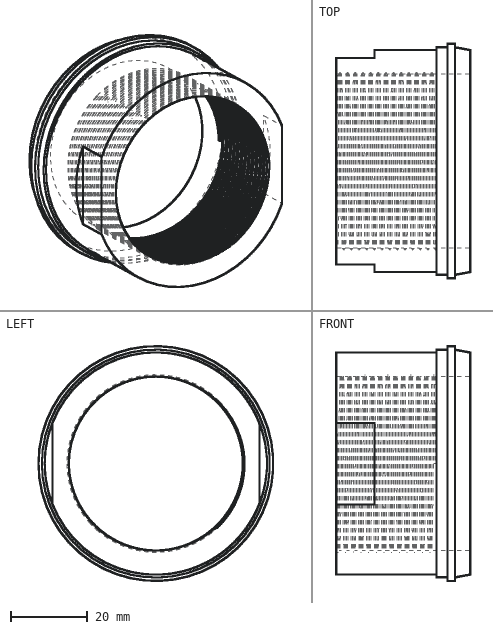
import cadquery as cq

length = 35.0
body_radius = 29.0
collar_radius = 29.7
flange_radius = 30.65
collar_start = 26.1
flange_start = 29.0
taper_start = 31.0
bore_radius = 22.7

flat_length = 10.0
flat_half_width = 27.0

helix_length = 27.95
helix_turns = 14
thread_pitch = helix_length / helix_turns
thread_depth = 0.5
groove_mouth = 0.8
cutter_overlap = 0.2


def make_sleeve():
    """Revolve the stepped wall about the X axis."""
    wall = (
        cq.Workplane("XY")
        .moveTo(0, bore_radius)
        .lineTo(0, body_radius)
        .lineTo(collar_start, body_radius)
        .lineTo(collar_start, collar_radius)
        .lineTo(flange_start, collar_radius)
        .lineTo(flange_start, flange_radius)
        .lineTo(taper_start, flange_radius)
        .lineTo(taper_start, collar_radius)
        .lineTo(length, body_radius)
        .lineTo(length, bore_radius)
        .close()
    )
    return wall.revolve(360, (0, 0, 0), (1, 0, 0))


def cut_flats(sleeve):
    """Cut the two opposite wrench flats at the threaded end."""
    flat_depth = body_radius - flat_half_width
    for side in (-1, 1):
        cutter = cq.Workplane("XY").box(
            flat_length, flat_depth, 2 * body_radius, centered=(False, True, True)
        )
        sleeve = sleeve.cut(cutter.translate((0, side * (flat_half_width + flat_depth / 2), 0)))
    return sleeve


def make_thread_cutter():
    """Sweep a V groove along a right-hand helix about X, starting at -Y."""
    helix = cq.Wire.makeHelix(thread_pitch, helix_length, bore_radius)
    inner = bore_radius - cutter_overlap
    flank_slope = groove_mouth / (2 * thread_depth)
    half_inner = groove_mouth / 2 + cutter_overlap * flank_slope
    outer = bore_radius + thread_depth
    groove = (
        cq.Workplane("XZ")
        .polyline([(inner, -half_inner), (outer, 0), (inner, half_inner)])
        .close()
        .sweep(cq.Workplane(helix), isFrenet=True)
    )
    along_x = groove.rotate((0, 0, 0), (0, 1, 0), 90)
    return along_x.rotate((0, 0, 0), (1, 0, 0), -90).translate((-thread_pitch, 0, 0))


result = cut_flats(make_sleeve()).cut(make_thread_cutter())